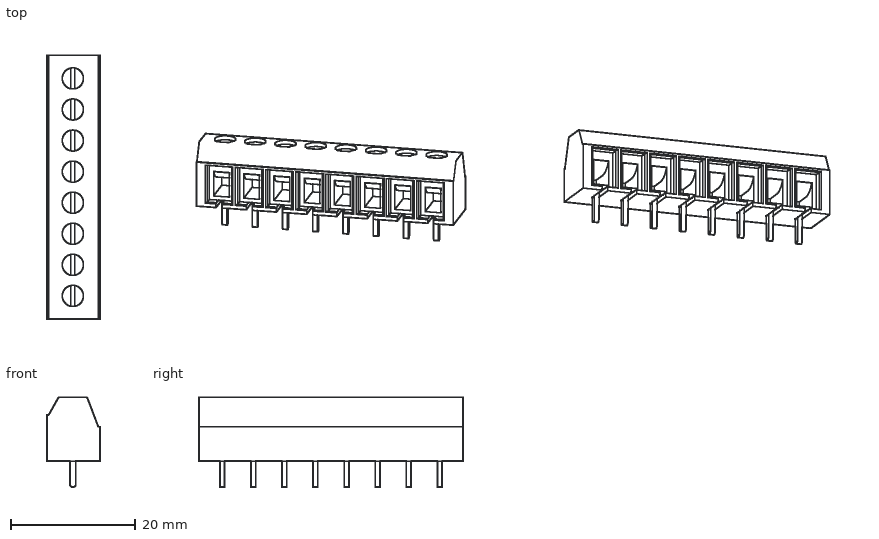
import cadquery as cq
import math


WAYS = 8
PITCH = 5.0
END_MARGIN = 3.75
DEPTH = 8.6
LENGTH = (WAYS - 1) * PITCH + 2 * END_MARGIN
HEIGHT = 10.3
LEDGE = 0.3
ENTRY_LEDGE_Z = 7.45
REAR_LEDGE_Z = 5.55
TOP_ENTRY_X = 1.9
TOP_REAR_X = 6.5
TOP_EDGE_RADIUS = 0.3
POLE_X = 4.2

POCKET_WIDTH = 4.0
POCKET_BOTTOM_Z = 0.75
POCKET_TOP_Z = 6.95
POCKET_DEPTH = 1.65
BEVEL_DEPTH = 0.3
BEVEL_SIDE = 0.3
BEVEL_END = 0.12

CHAMBER_WIDTH = 2.6
CHAMBER_BOTTOM_Z = 1.4
CHAMBER_TOP_Z = 5.5
CHAMBER_BACK_X = 7.4
CLAMP_BOTTOM_Z = 3.85
CLAMP_RADIUS = 3.0
CLAMP_LOW_X = 4.5

SCREW_HOLE_DIAMETER = 3.4
SCREW_RECESS = 0.65
SCREW_SLOT_WIDTH = 0.65
SCREW_SLOT_DEPTH = 1.0

PIN_LENGTH = 4.2
PIN_THICKNESS = 1.0
PIN_WIDTH = 0.8
PIN_SLOT_WIDTH = 1.0


def block(x_range, width, z_range, y):
    """Box spanning x_range and z_range, centred on y."""
    size_x = x_range[1] - x_range[0]
    size_z = z_range[1] - z_range[0]
    corner = (x_range[0], y - width / 2, z_range[0])
    return cq.Workplane("XY").box(size_x, width, size_z, centered=False).translate(corner)


def housing():
    outline = [
        (0, 0),
        (DEPTH, 0),
        (DEPTH, REAR_LEDGE_Z),
        (DEPTH - LEDGE, REAR_LEDGE_Z),
        (TOP_REAR_X, HEIGHT),
        (TOP_ENTRY_X, HEIGHT),
        (LEDGE, ENTRY_LEDGE_Z),
        (0, ENTRY_LEDGE_Z),
    ]
    body = cq.Workplane("XZ").polyline(outline).close().extrude(LENGTH / 2, both=True)
    return body.faces(">Z").edges("|Y").fillet(TOP_EDGE_RADIUS)


def pocket(y):
    height = POCKET_TOP_Z - POCKET_BOTTOM_Z
    middle_z = (POCKET_TOP_Z + POCKET_BOTTOM_Z) / 2
    straight = block((0, POCKET_DEPTH), POCKET_WIDTH, (POCKET_BOTTOM_Z, POCKET_TOP_Z), y)
    mouth = (
        cq.Workplane("YZ")
        .center(y, middle_z)
        .rect(POCKET_WIDTH + 2 * BEVEL_SIDE, height + 2 * BEVEL_END)
        .workplane(offset=BEVEL_DEPTH)
        .rect(POCKET_WIDTH, height)
        .loft(ruled=True)
    )
    return straight.union(mouth)


def chamber(y):
    """Wire chamber whose roof is a clamp, curving down until it runs level."""
    axis_z = CLAMP_BOTTOM_Z + CLAMP_RADIUS
    sweep = math.acos((axis_z - CHAMBER_TOP_Z) / CLAMP_RADIUS)
    clamp_front_x = CLAMP_LOW_X - CLAMP_RADIUS * math.sin(sweep)
    arc_middle = (
        CLAMP_LOW_X - CLAMP_RADIUS * math.sin(sweep / 2),
        axis_z - CLAMP_RADIUS * math.cos(sweep / 2),
    )
    profile = (
        cq.Workplane("XZ", origin=(0, y, 0))
        .moveTo(0, CHAMBER_BOTTOM_Z)
        .lineTo(CHAMBER_BACK_X, CHAMBER_BOTTOM_Z)
        .lineTo(CHAMBER_BACK_X, CLAMP_BOTTOM_Z)
        .lineTo(CLAMP_LOW_X, CLAMP_BOTTOM_Z)
        .threePointArc(arc_middle, (clamp_front_x, CHAMBER_TOP_Z))
        .lineTo(0, CHAMBER_TOP_Z)
        .close()
    )
    return profile.extrude(CHAMBER_WIDTH / 2, both=True)


def screw_recess(y):
    head_z = HEIGHT - SCREW_RECESS
    radius = SCREW_HOLE_DIAMETER / 2
    hole = cq.Workplane("XY", origin=(POLE_X, y, head_z)).circle(radius).extrude(SCREW_RECESS)
    head = cq.Workplane("XY", origin=(POLE_X, y, 0)).circle(radius).extrude(head_z)
    slot_x = (POLE_X - SCREW_SLOT_WIDTH / 2, POLE_X + SCREW_SLOT_WIDTH / 2)
    slot_z = (head_z - SCREW_SLOT_DEPTH, head_z)
    driver_slot = block(slot_x, SCREW_HOLE_DIAMETER, slot_z, y).intersect(head)
    return hole.union(driver_slot)


def pin_slot(y):
    return block((0, POLE_X + PIN_THICKNESS / 2), PIN_SLOT_WIDTH, (0, POCKET_BOTTOM_Z), y)


def pin(y):
    """Flat pin with a fully rounded tip, rooted in the chamber floor."""
    radius = PIN_THICKNESS / 2
    outline = (
        cq.Workplane("XZ", origin=(0, y, 0))
        .moveTo(POLE_X - radius, CHAMBER_BOTTOM_Z)
        .lineTo(POLE_X - radius, radius - PIN_LENGTH)
        .threePointArc((POLE_X, -PIN_LENGTH), (POLE_X + radius, radius - PIN_LENGTH))
        .lineTo(POLE_X + radius, CHAMBER_BOTTOM_Z)
        .close()
    )
    return outline.extrude(PIN_WIDTH / 2, both=True)


result = housing()
for way in range(WAYS):
    pole_y = END_MARGIN - LENGTH / 2 + way * PITCH
    for cutter in (pocket, chamber, screw_recess, pin_slot):
        result = result.cut(cutter(pole_y))
    result = result.union(pin(pole_y))